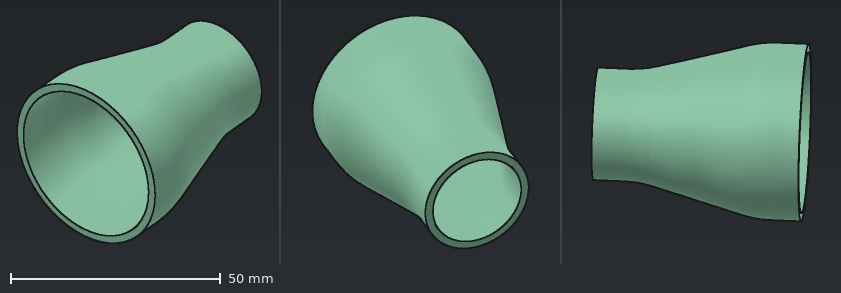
import cadquery as cq
import math

length = 50.0
large_diameter = 42.4
small_diameter = 26.9
wall = 2.0
collar_length = 7.5
bend_radius = 25.0

large_radius = large_diameter / 2
small_radius = small_diameter / 2
large_collar_y = -length / 2 + collar_length
small_collar_y = length / 2 - collar_length

large_center = (large_radius - bend_radius, large_collar_y)
small_center = (small_radius + bend_radius, small_collar_y)
center_rise = small_center[0] - large_center[0]
center_run = small_center[1] - large_center[1]
bend_radius_sum = 2 * bend_radius
cone_line_length = math.sqrt(center_rise**2 + center_run**2 - bend_radius_sum**2)
cone_angle = math.atan2(center_run, center_rise) - math.atan2(cone_line_length, bend_radius_sum)


def arc_point(center, signed_radius, angle):
    """Point on a bend; a negative radius puts it on the axis side of the centre."""
    return (
        center[0] + signed_radius * math.cos(angle),
        center[1] + signed_radius * math.sin(angle),
    )


def reducer_solid(inset):
    """Solid of revolution whose surface lies a constant inset inside the outer surface."""
    large_bend = bend_radius - inset
    small_bend = -(bend_radius + inset)
    return (
        cq.Workplane("XY")
        .moveTo(0, -length / 2)
        .lineTo(large_radius - inset, -length / 2)
        .lineTo(large_radius - inset, large_collar_y)
        .threePointArc(
            arc_point(large_center, large_bend, cone_angle / 2),
            arc_point(large_center, large_bend, cone_angle),
        )
        .lineTo(*arc_point(small_center, small_bend, cone_angle))
        .threePointArc(
            arc_point(small_center, small_bend, cone_angle / 2),
            (small_radius - inset, small_collar_y),
        )
        .lineTo(small_radius - inset, length / 2)
        .lineTo(0, length / 2)
        .close()
        .revolve(360, (0, 0, 0), (0, 1, 0))
    )


outer_body = reducer_solid(0)
bore = reducer_solid(wall)
result = outer_body.cut(bore)